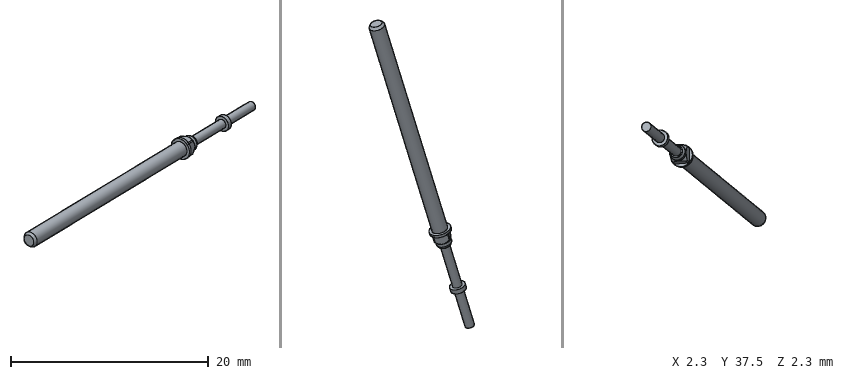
import cadquery as cq


overall_length = 37.5
tail_end = 12.0
tip_end = tail_end - overall_length
flange_thickness = 0.3
neck_length = 10.0
collar_offset = 4.5
collar_length = 0.5
tip_chamfer_length = 0.3
lead_chamfer_length = 0.3
head_round_length = 0.35
head_flare_length = 0.35

flange_diameter = 2.3
barrel_diameter = 1.66
tip_face_diameter = 1.24
tail_diameter = 1.0
collar_diameter = barrel_diameter
lead_diameter = 1.3
head_round_diameter = 1.64
corner_diameter = 2.2
square_width = barrel_diameter


def rod(start, end, diameter):
    """Cylinder on the Y axis from Y = start up to Y = end."""
    return cone(start, end, diameter, diameter)


def cone(start, end, start_diameter, end_diameter):
    """Cone on the Y axis with the given diameters at Y = start and Y = end."""
    profile = (
        cq.Workplane("YZ")
        .moveTo(start, 0)
        .lineTo(start, start_diameter / 2)
        .lineTo(end, end_diameter / 2)
        .lineTo(end, 0)
        .close()
    )
    return profile.revolve(360, (0, 0, 0), (1, 0, 0))


def make_barrel():
    """Long barrel with its chamfered tip."""
    chamfer_start = tip_end + tip_chamfer_length
    barrel = rod(chamfer_start, 0, barrel_diameter)
    chamfer = cone(tip_end, chamfer_start, tip_face_diameter, barrel_diameter)
    return barrel.union(chamfer)


def make_head():
    """Press-fit head: a square with turned corners, flared down to a round, chamfered lead."""
    lead_end = tail_end - neck_length
    round_end = lead_end - lead_chamfer_length
    flare_end = round_end - head_round_length
    square_end = flare_end - head_flare_length
    turned = (
        rod(flange_thickness, square_end, corner_diameter)
        .union(cone(square_end, flare_end, corner_diameter, head_round_diameter))
        .union(rod(flare_end, round_end, head_round_diameter))
        .union(cone(round_end, lead_end, head_round_diameter, lead_diameter))
    )
    square_bar = cq.Workplane("XY").box(square_width, lead_end, square_width, centered=(True, False, True))
    return turned.intersect(square_bar)


def make_tail():
    """Thin tail with its collar."""
    collar_far = tail_end - collar_offset
    tail = rod(tail_end - neck_length, tail_end, tail_diameter)
    return tail.union(rod(collar_far - collar_length, collar_far, collar_diameter))


flange = rod(0, flange_thickness, flange_diameter)

result = make_barrel().union(flange).union(make_head()).union(make_tail())